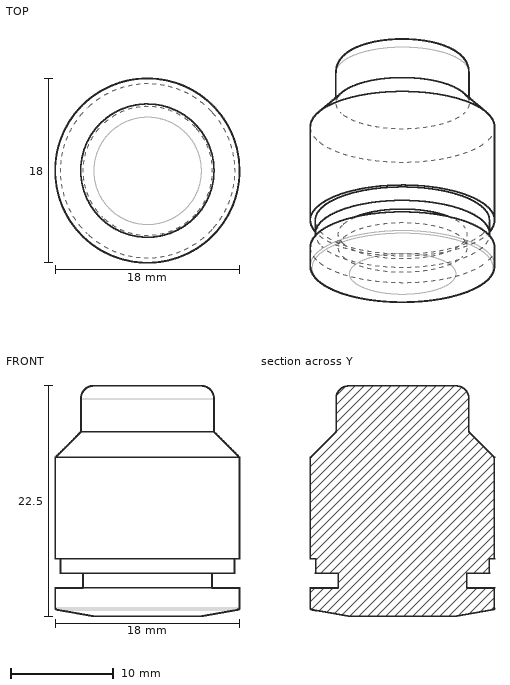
import cadquery as cq
import math

height = 22.5
body_radius = 18.0 / 2

collar_radius = 17.0 / 2
button_radius = 13.0 / 2
neck_radius = 12.6 / 2

bottom_face_radius = 10.4 / 2
cone_angle = math.radians(10)
cone_height = (body_radius - bottom_face_radius) * math.tan(cone_angle)
flange_top = 2.8
rim_round = 0.2

step_height = 1.42
neck_top = flange_top + step_height
collar_top = neck_top + step_height

shoulder_top = 18.0
shoulder_base = shoulder_top - (body_radius - button_radius)
button_round = 1.25

half_section = (
    cq.Workplane("XZ")
    .moveTo(0, 0)
    .lineTo(bottom_face_radius, 0)
    .lineTo(body_radius, cone_height)
    .lineTo(body_radius, flange_top)
    .lineTo(neck_radius, flange_top)
    .lineTo(neck_radius, neck_top)
    .lineTo(collar_radius, neck_top)
    .lineTo(collar_radius, collar_top)
    .lineTo(body_radius, collar_top)
    .lineTo(body_radius, shoulder_base)
    .lineTo(button_radius, shoulder_top)
    .lineTo(button_radius, height)
    .lineTo(0, height)
    .close()
)
turned_body = half_section.revolve(360, (0, 0, 0), (0, 1, 0))

rounded_button = turned_body.faces(">Z").edges().fillet(button_round)

lower_rim = rounded_button.edges("%CIRCLE").filter(
    lambda edge: abs(edge.Center().z - cone_height) < rim_round
)
result = lower_rim.fillet(rim_round)